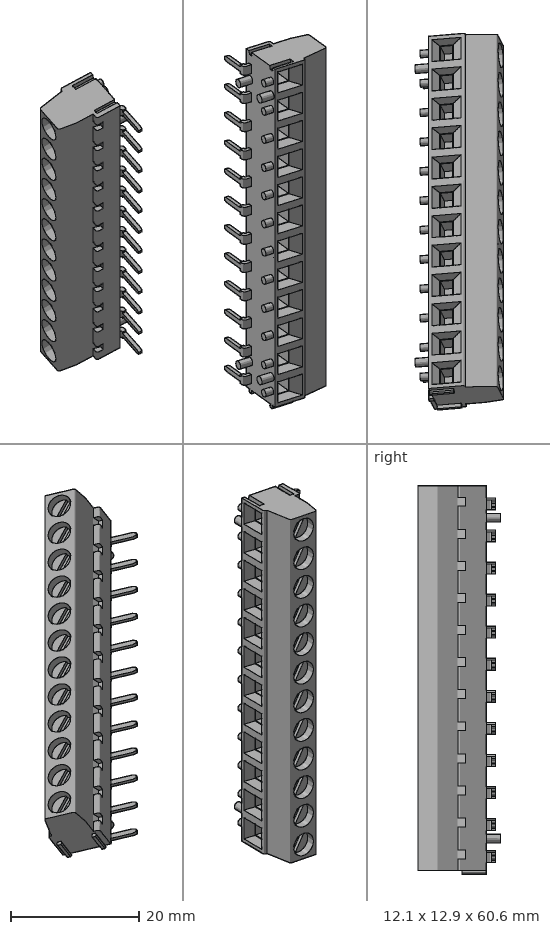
import cadquery as cq

overall_height = 60.6
joint_height = 0.6
body_height = overall_height - joint_height
cell_count = 12
pitch = body_height / cell_count
cell_heights = [(i + 0.5) * pitch for i in range(cell_count)]

overall_depth = 12.9
body_width = 8.1
body_depth = 10.65
screw_face_left = 1.45
screw_face_right = 6.6
left_ledge_y = -5.8
left_ledge_x = 0.55
left_ledge_round = 0.5
right_ledge_y = -4.4
right_ledge_x = 7.1
right_taper_y = -7.6
right_ledge_round = 0.35
screw_edge_round = 0.35

screw_x = 4.0
screw_diameter = 3.8
screw_recess = 1.45
slot_width = 0.9
slot_depth = 0.6
slot_angle = 60

funnel_near_y = -5.15
funnel_far_y = -0.55
funnel_height = 3.7
throat_near_y = -3.65
throat_far_y = -1.45
throat_height = 2.7
funnel_depth = 1.5
throat_depth = 3.0
throat_step = 0.1

peg_left_x = 0.95
peg_right_x = 6.95
peg_length = overall_depth - body_depth
peg_diameter = 1.4
stub_diameter = 1.2
stub_length = 1.45
pin_thickness = 0.65
pin_width = 0.85
pin_leg_width = 1.6
pin_leg_end_x = 7.65
pin_drop = 0.5
pin_end_x = 12.05
pin_tip_length = 0.6
pin_tip_width = 0.5
pin_bend_outer_radius = 0.55
pin_bend_inner_radius = 0.2

relief_height = 1.4
relief_depth = 1.2
relief_slope_width = 0.35

joint_length = 3.8
left_joint_x = 1.0
right_joint_x = 6.6
narrow_width = 0.55
rib_width = 0.9
rib_widest_z = -0.35
groove_width = 0.9


def make_body():
    outline = [
        (0, 0),
        (0, left_ledge_y),
        (left_ledge_x, left_ledge_y),
        (screw_face_left, -body_depth),
        (screw_face_right, -body_depth),
        (right_ledge_x, right_taper_y),
        (right_ledge_x, right_ledge_y),
        (body_width, right_ledge_y),
        (body_width, 0),
    ]
    body = cq.Workplane("XY").polyline(outline).close().extrude(body_height)
    body = body.faces("<Y").edges("|Z").fillet(screw_edge_round)
    left_edge = cq.selectors.NearestToPointSelector((0, left_ledge_y, body_height / 2))
    body = body.edges(left_edge).fillet(left_ledge_round)
    right_edge = cq.selectors.NearestToPointSelector((body_width, right_ledge_y, body_height / 2))
    return body.edges(right_edge).fillet(right_ledge_round)


def make_screw_well(z):
    """Round well whose floor is a screw head with a slanted driver slot."""
    face = cq.Plane(origin=(screw_x, -body_depth, z), xDir=(1, 0, 0), normal=(0, -1, 0))
    well = cq.Workplane(face).circle(screw_diameter / 2).extrude(-screw_recess)
    floor = cq.Workplane(face).workplane(offset=-screw_recess)
    slot = floor.transformed(rotate=(0, 0, slot_angle)).rect(screw_diameter, slot_width).extrude(-slot_depth)
    head = floor.circle(screw_diameter / 2).extrude(-slot_depth)
    return well.union(slot.intersect(head))


def make_wire_funnel(z):
    """Tapered wire entry followed by a slightly narrower straight throat."""
    mouth_y = (funnel_near_y + funnel_far_y) / 2
    throat_y = (throat_near_y + throat_far_y) / 2
    mouth = cq.Workplane("YZ").center(mouth_y, z).rect(funnel_far_y - funnel_near_y, funnel_height)
    throat_size = (throat_far_y - throat_near_y, throat_height)
    funnel_end = mouth.workplane(offset=funnel_depth).center(throat_y - mouth_y, 0).rect(*throat_size)
    funnel = funnel_end.loft(ruled=True)
    inner_size = [size - 2 * throat_step for size in throat_size]
    throat = cq.Workplane("YZ", origin=(funnel_depth, throat_y, z)).rect(*inner_size).extrude(throat_depth)
    return funnel.union(throat)


def make_relief(z):
    outline = [
        (right_ledge_x, right_ledge_y),
        (right_ledge_x + relief_slope_width, right_ledge_y + relief_depth),
        (body_width, right_ledge_y + relief_depth),
        (body_width, right_ledge_y),
    ]
    relief = cq.Workplane("XY").polyline(outline).close().extrude(relief_height)
    return relief.translate((0, 0, z - relief_height / 2))


def make_round_peg(x, z, diameter, length):
    return cq.Workplane("XZ", origin=(x, 0, z)).circle(diameter / 2).extrude(-length)


def make_bent_pin(z):
    """Pin with a wide leg on the +Y face, bent to +X into a narrower arm with a tapered tip."""
    leg_left = peg_right_x - pin_thickness / 2
    leg_right = leg_left + pin_thickness
    arm_low = stub_length - pin_thickness
    side = (
        cq.Workplane("XY")
        .moveTo(leg_left, 0)
        .lineTo(leg_left, stub_length - pin_bend_outer_radius)
        .radiusArc((leg_left + pin_bend_outer_radius, stub_length), pin_bend_outer_radius)
        .lineTo(pin_end_x, stub_length)
        .lineTo(pin_end_x, arm_low)
        .lineTo(leg_right + pin_bend_inner_radius, arm_low)
        .radiusArc((leg_right, arm_low - pin_bend_inner_radius), -pin_bend_inner_radius)
        .lineTo(leg_right, 0)
        .close()
        .extrude(pin_leg_width)
        .translate((0, 0, -pin_leg_width / 2))
    )
    tip_start = pin_end_x - pin_tip_length
    lower_edge = [
        (leg_left, -pin_leg_width / 2),
        (pin_leg_end_x, -pin_leg_width / 2),
        (pin_leg_end_x, -pin_width / 2),
        (tip_start, -pin_width / 2),
        (pin_end_x, -pin_tip_width / 2),
    ]
    upper_edge = [(x, -edge_z) for x, edge_z in reversed(lower_edge)]
    plan = cq.Workplane("XZ").polyline(lower_edge + upper_edge).close().extrude(-stub_length)
    return side.intersect(plan).translate((0, 0, z))


def extrude_joint(half_profile):
    """Two bars below z = 0, shaped by (half width, z) points.

    The left bar is symmetric; the right bar has a flat -X side.
    """
    mirrored = [(-half_width, z) for half_width, z in reversed(half_profile)]
    left = [(left_joint_x + x, z) for x, z in half_profile + mirrored]
    right_center = right_joint_x + narrow_width / 2
    right = [(right_joint_x, half_profile[-1][1]), (right_joint_x, half_profile[0][1])]
    right += [(right_center + half_width, z) for half_width, z in half_profile]
    bars = cq.Workplane("XZ").polyline(left).close().polyline(right).close()
    return bars.extrude(joint_length)


def make_ribs():
    half_profile = [
        (narrow_width / 2, 0),
        (rib_width / 2, rib_widest_z),
        (narrow_width / 2, -joint_height),
    ]
    return extrude_joint(half_profile)


def make_grooves():
    return extrude_joint([(groove_width / 2, 0), (narrow_width / 2, -joint_height)])


result = make_body()
result = result.cut(make_grooves().translate((0, 0, body_height))).union(make_ribs())

for cell_z in cell_heights:
    result = result.cut(make_screw_well(cell_z))
    result = result.cut(make_wire_funnel(cell_z))
    result = result.cut(make_relief(cell_z))
    result = result.union(make_round_peg(peg_left_x, cell_z, stub_diameter, stub_length))
    result = result.union(make_bent_pin(cell_z - pin_drop))

for peg_z in (pitch, body_height - pitch):
    for peg_x in (peg_left_x, peg_right_x):
        result = result.union(make_round_peg(peg_x, peg_z, peg_diameter, peg_length))